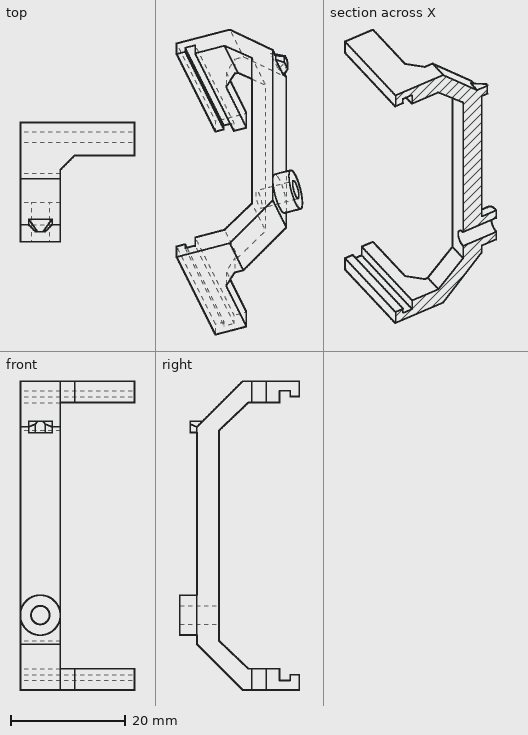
import cadquery as cq
import math

HEIGHT = 54.0
ARM_LENGTH = 20.0
SPINE_WIDTH = 7.0

BEND_DEPTH = 9.9
SPINE_FRONT = 17.9
SPINE_THICKNESS = 3.9
INNER_BEND_DEPTH = 8.9
ARM_THICKNESS = 3.75
SLOPE_ANGLE = 45.0
BEND_DROP = (SPINE_FRONT - BEND_DEPTH) * math.tan(math.radians(SLOPE_ANGLE))
SPINE_BACK = SPINE_FRONT - SPINE_THICKNESS
INNER_BEND_DROP = 8.6

LIP_WIDTH = 1.6
LIP_THICKNESS = 2.7
GROOVE_END = 3.45
GROOVE_FLOOR = 1.7

ARM_DEPTH = 5.8
GUSSET = 2.5

BOSS_RADIUS = SPINE_WIDTH / 2
BOSS_HEIGHT = 3.0
BOSS_Z = 13.1
HOLE_DIAMETER = 3.2

NUB_WIDTH = 4.1
NUB_PROJECTION = 1.2
NUB_HEIGHT = 2.0

EMBED_DEPTH = SPINE_THICKNESS / 2

CENTER_X = SPINE_WIDTH / 2
MID_Z = HEIGHT / 2
UPPER_BEND_Z = HEIGHT - BEND_DROP


def extruded_profile():
    """Mirror-symmetric side profile, carried along the full arm length."""
    upper_half = [
        (-SPINE_FRONT, MID_Z),
        (-SPINE_FRONT, UPPER_BEND_Z),
        (-BEND_DEPTH, HEIGHT),
        (0, HEIGHT),
        (0, HEIGHT - LIP_THICKNESS),
        (-LIP_WIDTH, HEIGHT - LIP_THICKNESS),
        (-LIP_WIDTH, HEIGHT - GROOVE_FLOOR),
        (-GROOVE_END, HEIGHT - GROOVE_FLOOR),
        (-GROOVE_END, HEIGHT - ARM_THICKNESS),
        (-INNER_BEND_DEPTH, HEIGHT - ARM_THICKNESS),
        (-SPINE_BACK, HEIGHT - INNER_BEND_DROP),
        (-SPINE_BACK, MID_Z),
    ]
    lower_half = [(y, HEIGHT - z) for y, z in reversed(upper_half[1:-1])]
    return cq.Workplane("YZ").polyline(upper_half + lower_half).close().extrude(ARM_LENGTH)


def plan_outline():
    """L-shaped plan with a 45 degree gusset in the inside corner."""
    points = [
        (0, 0),
        (ARM_LENGTH, 0),
        (ARM_LENGTH, -ARM_DEPTH),
        (SPINE_WIDTH + GUSSET, -ARM_DEPTH),
        (SPINE_WIDTH, -ARM_DEPTH - GUSSET),
        (SPINE_WIDTH, -SPINE_FRONT),
        (0, -SPINE_FRONT),
    ]
    return cq.Workplane("XY").polyline(points).close().extrude(HEIGHT)


def cylinder_from_front(radius, length):
    """Cylinder on the boss axis, running from the boss face toward +Y."""
    start = cq.Vector(CENTER_X, -SPINE_FRONT - BOSS_HEIGHT, BOSS_Z)
    return cq.Workplane(cq.Solid.makeCylinder(radius, length, start, cq.Vector(0, 1, 0)))


def tapered_ridge():
    """Vertical ridge on the bend line, its flanks at 45 degrees to the spine front.

    The flanks meet in a point, and a straight root reaches back into the spine.
    """
    half = NUB_WIDTH / 2
    points = [
        (CENTER_X - half, -SPINE_BACK),
        (CENTER_X - half, -SPINE_FRONT),
        (CENTER_X, -SPINE_FRONT - half),
        (CENTER_X + half, -SPINE_FRONT),
        (CENTER_X + half, -SPINE_BACK),
    ]
    outline = cq.Workplane("XY").workplane(offset=UPPER_BEND_Z).polyline(points).close()
    return outline.extrude(SPINE_FRONT, both=True)


def nub():
    """Block whose flanks taper at 45 degrees from both faces that meet at the bend."""
    bend_start = (0, -SPINE_FRONT, UPPER_BEND_Z)
    bend_end = (1, -SPINE_FRONT, UPPER_BEND_Z)
    spine_ridge = tapered_ridge()
    slope_ridge = spine_ridge.rotate(bend_start, bend_end, -SLOPE_ANGLE)
    block_depth = NUB_PROJECTION + EMBED_DEPTH
    block = cq.Workplane("XY").box(NUB_WIDTH, block_depth, NUB_HEIGHT, centered=(True, False, True))
    block = block.translate((CENTER_X, -SPINE_FRONT - NUB_PROJECTION, UPPER_BEND_Z))
    return block.intersect(spine_ridge).intersect(slope_ridge)


bracket = extruded_profile().intersect(plan_outline())
boss = cylinder_from_front(BOSS_RADIUS, BOSS_HEIGHT + EMBED_DEPTH)
hole = cylinder_from_front(HOLE_DIAMETER / 2, BOSS_HEIGHT + SPINE_FRONT)

result = bracket.union(boss).union(nub()).cut(hole)